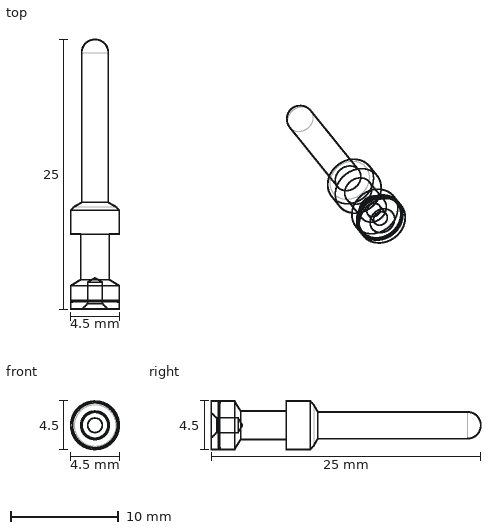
import cadquery as cq
import math

length = 25.0
flange_radius = 2.25
pin_radius = 1.25
neck_radius = 1.32

groove_start = 0.68
groove_width = 0.15
groove_depth = 0.18
head_shoulder = 2.18
head_end = 2.75

collar_start = 6.95
collar_shoulder = 9.18
collar_taper_break = 9.5
collar_break_radius = 1.92
collar_end = 9.9

countersink_radius = 1.2
bore_radius = 0.68
bore_depth = 2.5
drill_point_angle = 118.0

axis_start = (0, 0, 0)
axis_end = (0, 1, 0)


def make_body():
    """Revolve the outer half-profile, ending in a hemispherical tip."""
    groove_end = groove_start + groove_width
    groove_radius = flange_radius - groove_depth
    dome_start = length - pin_radius
    arc_offset = pin_radius * math.sqrt(0.5)
    profile = (
        cq.Workplane("XY")
        .lineTo(flange_radius, 0)
        .lineTo(flange_radius, groove_start)
        .lineTo(groove_radius, groove_start)
        .lineTo(groove_radius, groove_end)
        .lineTo(flange_radius, groove_end)
        .lineTo(flange_radius, head_shoulder)
        .lineTo(neck_radius, head_end)
        .lineTo(neck_radius, collar_start)
        .lineTo(flange_radius, collar_start)
        .lineTo(flange_radius, collar_shoulder)
        .lineTo(collar_break_radius, collar_taper_break)
        .lineTo(pin_radius, collar_end)
        .lineTo(pin_radius, dome_start)
        .threePointArc((arc_offset, dome_start + arc_offset), (0, length))
        .close()
    )
    return profile.revolve(360, axis_start, axis_end)


def make_bore():
    """Revolve the half-profile of the countersunk bore."""
    countersink_depth = countersink_radius - bore_radius
    point_depth = bore_radius / math.tan(math.radians(drill_point_angle / 2))
    profile = (
        cq.Workplane("XY")
        .lineTo(countersink_radius, 0)
        .lineTo(bore_radius, countersink_depth)
        .lineTo(bore_radius, bore_depth)
        .lineTo(0, bore_depth + point_depth)
        .close()
    )
    return profile.revolve(360, axis_start, axis_end)


result = make_body().cut(make_bore())